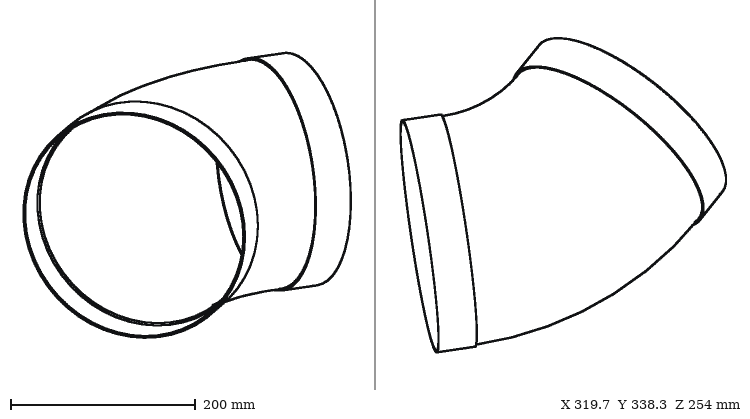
import cadquery as cq

WALL_THICKNESS = 2.0
BEND_ANGLE = 45.0
BEND_RADIUS = 250.0
COLLAR_LENGTH = 42.0
COLLAR_OUTER_DIAMETER = 254.0
COLLAR_INNER_DIAMETER = COLLAR_OUTER_DIAMETER - 2 * WALL_THICKNESS
BEND_OUTER_DIAMETER = COLLAR_INNER_DIAMETER
BEND_INNER_DIAMETER = BEND_OUTER_DIAMETER - 2 * WALL_THICKNESS
TAPER_LENGTH = WALL_THICKNESS


def ring(outer_diameter, inner_diameter):
    """Annular pipe section in the XZ plane, centred on the origin."""
    section = cq.Workplane("XZ")
    return section.circle(outer_diameter / 2).circle(inner_diameter / 2)


def collar():
    """Straight socket reaching from the bend's start plane toward -Y."""
    return ring(COLLAR_OUTER_DIAMETER, COLLAR_INNER_DIAMETER).extrude(COLLAR_LENGTH)


def bend():
    """Curved tube that starts along +Y and turns toward +X."""
    section = ring(BEND_OUTER_DIAMETER, BEND_INNER_DIAMETER)
    return section.revolve(BEND_ANGLE, (BEND_RADIUS, 0, 0), (BEND_RADIUS, -1, 0))


def inner_taper():
    """Conical lip that narrows the collar bore to the bend bore."""
    collar_radius = COLLAR_INNER_DIAMETER / 2
    bend_radius = BEND_INNER_DIAMETER / 2
    profile = cq.Workplane("XY").polyline(
        [(collar_radius, -TAPER_LENGTH), (collar_radius, 0), (bend_radius, 0)]
    )
    return profile.close().revolve(360, (0, 0, 0), (0, 1, 0))


bend_axis_start = (BEND_RADIUS, 0, 0)
bend_axis_end = (BEND_RADIUS, 0, 1)
near_end = collar().union(inner_taper())
far_end = near_end.mirror("XZ").rotate(bend_axis_start, bend_axis_end, -BEND_ANGLE)

result = bend().union(near_end).union(far_end)